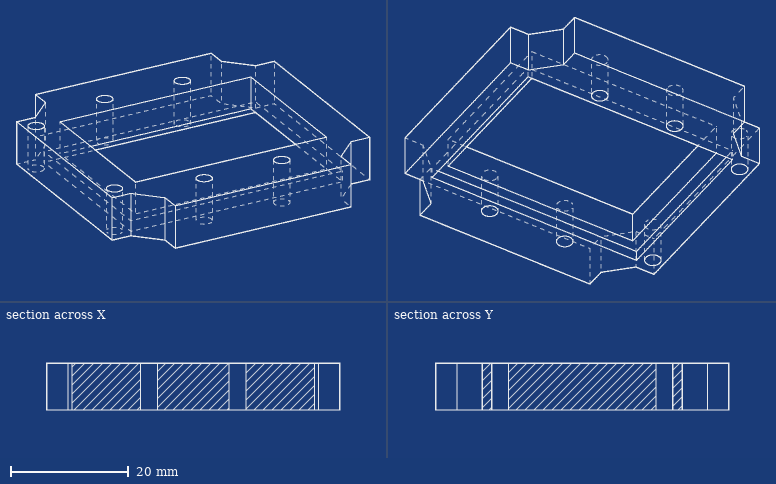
import cadquery as cq

side = 49.8
thickness = 8.0

edge_length = 34.0
bevel = 4.3

window_x = 26.9
window_y = 36.9

recess_depth = 2.0
lip_width = 2.0

hole_diameter = 2.8
side_hole_spacing_x = 35.4
side_hole_spacing_y = 15.0
end_hole_spacing = 27.9
end_hole_edge_distance = 2.1


def make_plate():
    """Square plate with its bottom face on Z = 0."""
    return cq.Workplane("XY").box(side, side, thickness, centered=(True, True, False))


def corner_notch(sign_x, sign_y):
    """Cutter for one corner, reaching the full thickness of the plate."""
    outer = side / 2
    inner = edge_length / 2
    outline = [
        (outer, outer),
        (inner, outer),
        (inner, inner + bevel),
        (inner + bevel, inner),
        (outer, inner),
    ]
    points = [(sign_x * x, sign_y * y) for x, y in outline]
    return cq.Workplane("XY").polyline(points).close().extrude(thickness)


def make_window():
    """Cutter for the rectangular window."""
    return cq.Workplane("XY").rect(window_x, window_y).extrude(thickness)


def make_recess():
    """Cutter for the wider rectangular recess below the window."""
    recess_x = window_x + 2 * lip_width
    recess_y = window_y + 2 * lip_width
    return cq.Workplane("XY").rect(recess_x, recess_y).extrude(recess_depth)


def make_holes():
    """Cutters for the four side holes and the two holes along the -Y edge."""
    end_hole_y = -side / 2 + end_hole_edge_distance
    centres = []
    for sign_x in (-1, 1):
        centres.append((sign_x * end_hole_spacing / 2, end_hole_y))
        for sign_y in (-1, 1):
            centres.append((sign_x * side_hole_spacing_x / 2, sign_y * side_hole_spacing_y / 2))
    return cq.Workplane("XY").pushPoints(centres).circle(hole_diameter / 2).extrude(thickness)


result = make_plate()
for sign_x in (-1, 1):
    for sign_y in (-1, 1):
        result = result.cut(corner_notch(sign_x, sign_y))
result = result.cut(make_window()).cut(make_recess()).cut(make_holes())